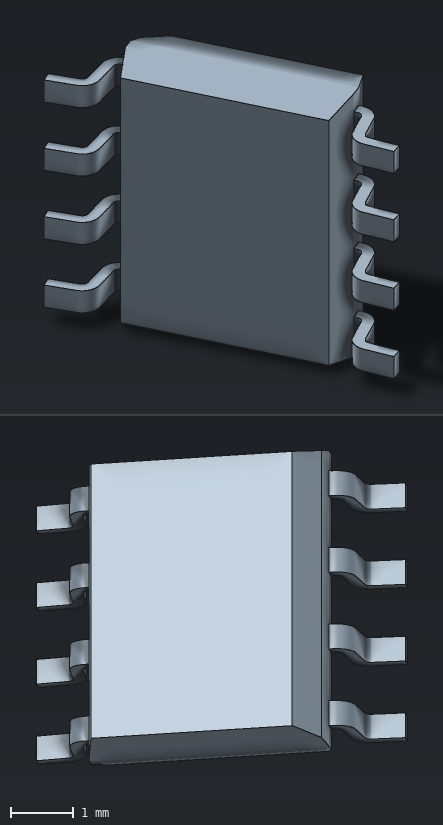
import cadquery as cq
import math

HOUSING_WIDTH = 3.9
HOUSING_HEIGHT = 4.9
HOUSING_DEPTH = 1.5
DRAFT_ANGLE = 15.0
PIN_ONE_BEVEL = 0.39

OVERALL_WIDTH = 6.0
LEADS_PER_SIDE = 4
LEAD_PITCH = 1.27
LEAD_WIDTH = 0.415
LEAD_THICKNESS = 0.21
SHOULDER_LENGTH = 0.06
INNER_BEND_RADIUS = 0.1
LEG_ANGLE = 5.5
LEG_LENGTH = 0.485
FOOT_ANGLE = 4.0

BAND_DEPTH = LEAD_THICKNESS
TAPER_DEPTH = (HOUSING_DEPTH - BAND_DEPTH) / 2
OUTER_BEND_RADIUS = INNER_BEND_RADIUS + LEAD_THICKNESS


def tapered_half(direction):
    """Half of the housing, from the mid-plane to the front (-1) or rear (+1) face."""
    mid_plane = cq.Workplane("XZ").rect(HOUSING_WIDTH, HOUSING_HEIGHT)
    band = mid_plane.extrude(-direction * BAND_DEPTH / 2)
    taper = (
        cq.Workplane("XZ", origin=(0, direction * BAND_DEPTH / 2, 0))
        .rect(HOUSING_WIDTH, HOUSING_HEIGHT)
        .extrude(-direction * TAPER_DEPTH, taper=DRAFT_ANGLE)
    )
    return band.union(taper)


def bevel_cutter():
    """Triangular prism that bevels the rear left edge at 45 degrees."""
    rear = HOUSING_DEPTH / 2
    bevel_start = rear - PIN_ONE_BEVEL
    wall_x = -HOUSING_WIDTH / 2 + (bevel_start - BAND_DEPTH / 2) * math.tan(math.radians(DRAFT_ANGLE))
    return (
        cq.Workplane("XY", origin=(0, 0, -HOUSING_HEIGHT / 2))
        .moveTo(wall_x, bevel_start)
        .lineTo(wall_x + PIN_ONE_BEVEL, rear)
        .lineTo(wall_x, rear)
        .close()
        .extrude(HOUSING_HEIGHT)
    )


def make_housing():
    """Housing with a straight band, drafted walls and the pin-one bevel."""
    return tapered_half(-1).union(tapered_half(1)).cut(bevel_cutter())


def polar(centre, radius, degrees):
    """Point at a radius and an angle around a centre."""
    angle = math.radians(degrees)
    return centre[0] + radius * math.cos(angle), centre[1] + radius * math.sin(angle)


def make_right_lead(z_centre):
    """Lead on the +X side: shoulder, bend, leg, opposite bend and foot."""
    shoulder_normal = 90.0
    leg_normal = LEG_ANGLE
    foot_normal = 90.0 - FOOT_ANGLE
    upper_middle = (shoulder_normal + leg_normal) / 2
    lower_middle = 180.0 + (foot_normal + leg_normal) / 2

    root_x = HOUSING_WIDTH / 2
    band_half = LEAD_THICKNESS / 2
    upper_bend = (root_x + SHOULDER_LENGTH, -band_half - INNER_BEND_RADIUS)
    leg_end = polar(upper_bend, LEG_LENGTH, leg_normal - 90.0)
    lower_bend = polar(leg_end, OUTER_BEND_RADIUS + INNER_BEND_RADIUS, leg_normal)

    toe_start = polar(lower_bend, INNER_BEND_RADIUS, foot_normal + 180.0)
    foot_length = (OVERALL_WIDTH / 2 - toe_start[0]) / math.cos(math.radians(FOOT_ANGLE))
    toe_rear = polar(toe_start, foot_length, -FOOT_ANGLE)
    toe_front = polar(toe_rear, LEAD_THICKNESS, foot_normal + 180.0)

    return (
        cq.Workplane("XY", origin=(0, 0, z_centre - LEAD_WIDTH / 2))
        .moveTo(root_x, band_half)
        .lineTo(*polar(upper_bend, OUTER_BEND_RADIUS, shoulder_normal))
        .threePointArc(
            polar(upper_bend, OUTER_BEND_RADIUS, upper_middle),
            polar(upper_bend, OUTER_BEND_RADIUS, leg_normal),
        )
        .lineTo(*polar(lower_bend, INNER_BEND_RADIUS, leg_normal + 180.0))
        .threePointArc(polar(lower_bend, INNER_BEND_RADIUS, lower_middle), toe_start)
        .lineTo(*toe_rear)
        .lineTo(*toe_front)
        .lineTo(*polar(lower_bend, OUTER_BEND_RADIUS, foot_normal + 180.0))
        .threePointArc(
            polar(lower_bend, OUTER_BEND_RADIUS, lower_middle),
            polar(lower_bend, OUTER_BEND_RADIUS, leg_normal + 180.0),
        )
        .lineTo(*polar(upper_bend, INNER_BEND_RADIUS, leg_normal))
        .threePointArc(
            polar(upper_bend, INNER_BEND_RADIUS, upper_middle),
            polar(upper_bend, INNER_BEND_RADIUS, shoulder_normal),
        )
        .lineTo(root_x, -band_half)
        .close()
        .extrude(LEAD_WIDTH)
    )


housing = make_housing()

leads = []
for index in range(LEADS_PER_SIDE):
    z_centre = (index - (LEADS_PER_SIDE - 1) / 2) * LEAD_PITCH
    right_lead = make_right_lead(z_centre)
    left_lead = right_lead.mirror("YZ")
    leads.append(right_lead.val())
    leads.append(left_lead.val())

result = cq.Compound.makeCompound([housing.val(), *leads])